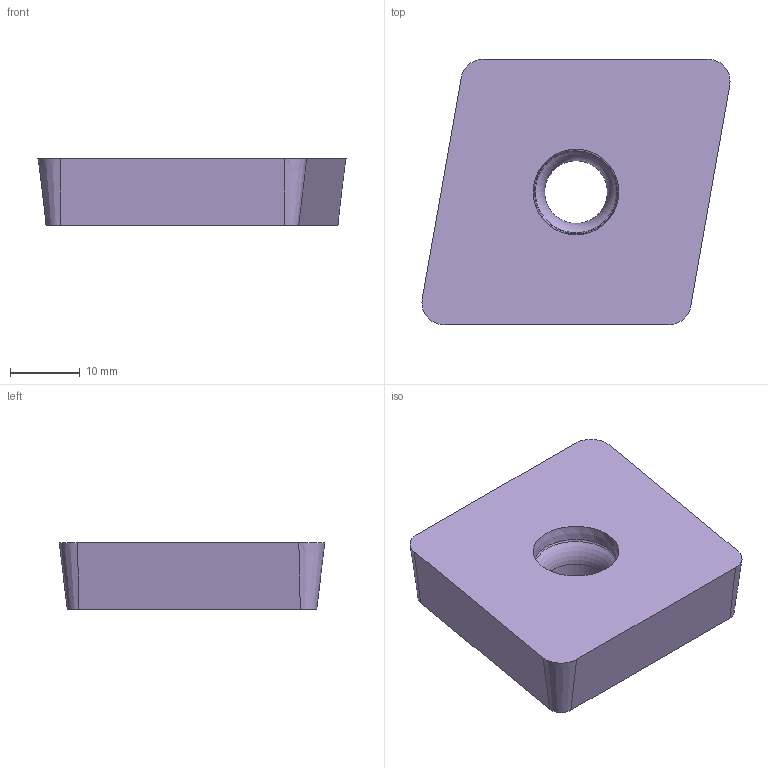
import cadquery as cq
import math

inscribed_diameter = 38.1
thickness = 9.525
corner_angle = 80.0
relief_angle = 7.0
corner_radius = 3.175

bore_diameter = 9.0
counterbore_diameter = 12.3
counterbore_depth = 2.33
counterbore_taper = 4.5
seat_radius = 4.0
blend_radius = 0.4


def make_body():
    """Rhombus with rounded corners, largest at the top face and tapering downward."""
    side = inscribed_diameter / math.sin(math.radians(corner_angle))
    half_height = inscribed_diameter / 2
    lean = half_height / math.tan(math.radians(corner_angle))
    corners = [
        (-side / 2 - lean, -half_height),
        (side / 2 - lean, -half_height),
        (side / 2 + lean, half_height),
        (-side / 2 + lean, half_height),
    ]
    rounded_blank = (
        cq.Workplane("XY")
        .polyline(corners)
        .close()
        .extrude(thickness)
        .edges("|Z")
        .fillet(corner_radius)
    )
    return (
        rounded_blank.faces(">Z")
        .wires()
        .toPending()
        .extrude(-thickness, taper=relief_angle, combine=False)
    )


def make_hole():
    """Revolved cutter; the seat arc is convex and runs tangent into the bore."""
    bore_r = bore_diameter / 2
    counterbore_r = counterbore_diameter / 2
    seat_r = counterbore_r - counterbore_depth * math.tan(math.radians(counterbore_taper))
    seat_top_z = thickness - counterbore_depth

    arc_center_r = bore_r + seat_radius
    seat_angle = math.acos((arc_center_r - seat_r) / seat_radius)
    seat_bottom_z = seat_top_z - seat_radius * math.sin(seat_angle)
    arc_middle = (
        arc_center_r - seat_radius * math.cos(seat_angle / 2),
        seat_bottom_z + seat_radius * math.sin(seat_angle / 2),
    )
    sharp_cutter = (
        cq.Workplane("XZ")
        .moveTo(0, 0)
        .lineTo(bore_r, 0)
        .lineTo(bore_r, seat_bottom_z)
        .threePointArc(arc_middle, (seat_r, seat_top_z))
        .lineTo(counterbore_r, thickness)
        .lineTo(0, thickness)
        .close()
        .revolve(360, (0, 0, 0), (0, 1, 0))
    )
    return sharp_cutter.edges("%CIRCLE").edges(">>Z[-2]").fillet(blend_radius)


result = make_body().cut(make_hole())